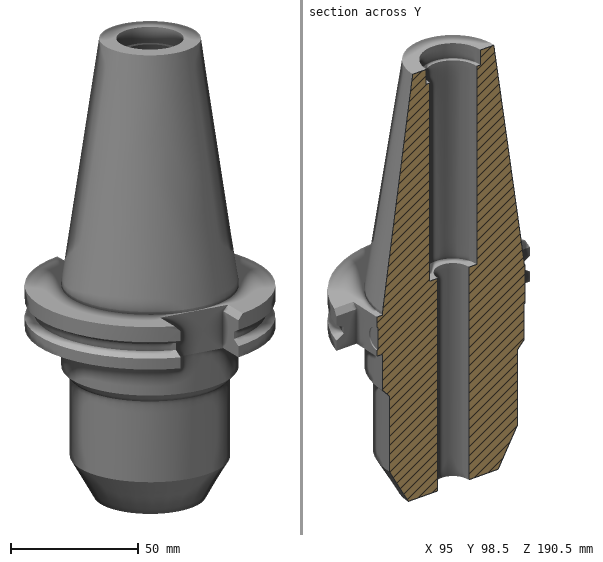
import cadquery as cq

total_height = 190.5
nose_bevel_height = 16.5
collar_bevel_bottom = 50.3
collar_bevel_top = 54.0
flange_bottom = 70.0
flange_top = 87.6
taper_start = 88.8

nose_end_diameter = 44.2
body_diameter = 63.0
collar_diameter = 69.7
flange_diameter = 98.5
taper_end_diameter = 40.0

groove_diameter = 91.5
groove_mouth_bottom = 74.5
groove_mouth_top = 81.3
groove_side_rise = 2.0

through_bore_diameter = 15.2
main_bore_diameter = 22.9
main_bore_depth = 95.2
counterbore_diameter = 26.5
counterbore_depth = 6.7

slot_width = 26.1
slot_chamfer = 2.3
left_slot_floor = 37.5
right_slot_floor = 35.2

side_hole_diameter = 10.0
side_hole_height = 77.7
side_hole_depth = 0.5


def make_body():
    """Revolve the outside profile about Z."""
    nose_radius = nose_end_diameter / 2
    body_radius = body_diameter / 2
    collar_radius = collar_diameter / 2
    flange_radius = flange_diameter / 2
    groove_radius = groove_diameter / 2
    profile = [
        (0, 0),
        (nose_radius, 0),
        (body_radius, nose_bevel_height),
        (body_radius, collar_bevel_bottom),
        (collar_radius, collar_bevel_top),
        (collar_radius, flange_bottom),
        (flange_radius, flange_bottom),
        (flange_radius, groove_mouth_bottom),
        (groove_radius, groove_mouth_bottom + groove_side_rise),
        (groove_radius, groove_mouth_top - groove_side_rise),
        (flange_radius, groove_mouth_top),
        (flange_radius, flange_top),
        (collar_radius, flange_top),
        (collar_radius, taper_start),
        (taper_end_diameter / 2, total_height),
        (0, total_height),
    ]
    return cq.Workplane("XZ").polyline(profile).close().revolve(360, (0, 0), (0, 1))


def make_slot(floor, direction):
    """Slot cutter from the floor outward along +X or -X, flared at the flange top."""
    half_width = slot_width / 2
    mouth_half_width = half_width + slot_chamfer
    section = [
        (-half_width, flange_bottom),
        (half_width, flange_bottom),
        (half_width, flange_top - slot_chamfer),
        (mouth_half_width, flange_top),
        (-mouth_half_width, flange_top),
        (-half_width, flange_top - slot_chamfer),
    ]
    slot_length = flange_diameter / 2 - floor
    return (
        cq.Workplane("YZ", origin=(direction * floor, 0, 0))
        .polyline(section)
        .close()
        .extrude(direction * slot_length)
    )


def cut_bores(body):
    """Cut the counterbore, main bore and through bore from the small taper end."""
    bores = (
        (through_bore_diameter, total_height),
        (main_bore_diameter, main_bore_depth),
        (counterbore_diameter, counterbore_depth),
    )
    for diameter, depth in bores:
        bore = (
            cq.Workplane("XY", origin=(0, 0, total_height - depth))
            .circle(diameter / 2)
            .extrude(depth)
        )
        body = body.cut(bore)
    return body


def make_side_hole():
    """Shallow blind hole running inward along +X from the left slot floor."""
    return (
        cq.Workplane("YZ", origin=(-left_slot_floor, 0, side_hole_height))
        .circle(side_hole_diameter / 2)
        .extrude(side_hole_depth)
    )


result = cut_bores(make_body())
result = result.cut(make_slot(left_slot_floor, -1))
result = result.cut(make_slot(right_slot_floor, 1))
result = result.cut(make_side_hole())